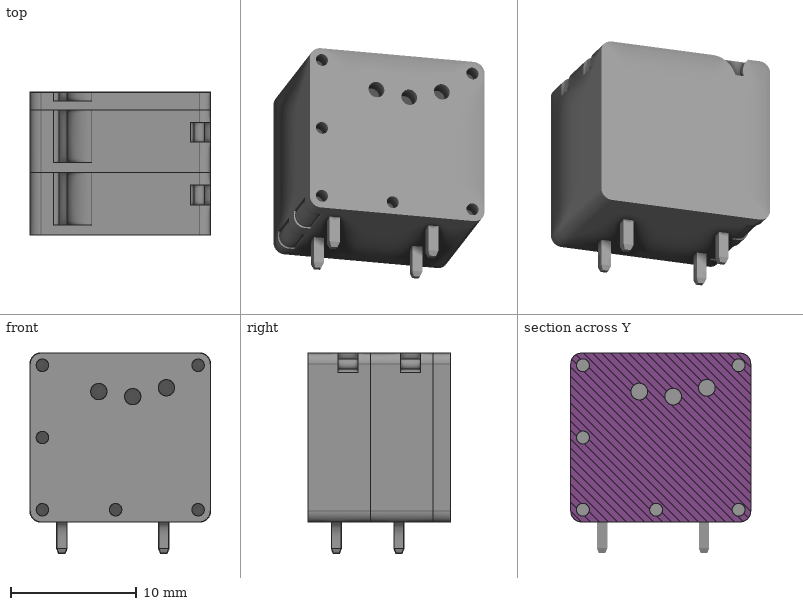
import cadquery as cq
import math

width = 14.4
total_depth = 11.4
total_height = 16.0
pin_length = 2.5
module_count = 2
module_depth = 5.0
cap_depth = total_depth - module_count * module_depth
corner_radius = 0.9

left = -width / 2
right = width / 2
bottom = pin_length
top = total_height
mid_height = (bottom + top) / 2

rivet_diameter = 1.0
rivet_inset = 1.0
rivet_left = left + rivet_inset
rivet_right = right - rivet_inset
rivet_low = bottom + rivet_inset
rivet_high = top - rivet_inset
rivet_bottom_x = -0.37
rivet_places = [
    (rivet_left, rivet_high),
    (rivet_right, rivet_high),
    (rivet_left, mid_height),
    (rivet_left, rivet_low),
    (rivet_bottom_x, rivet_low),
    (rivet_right, rivet_low),
]
guide_diameter = 1.3
guide_places = [(-1.71, top - 3.09), (1.0, top - 3.49), (3.68, top - 2.78)]
hole_depth = 1.6

slot_bulge_radius = 1.33
slot_floor_depth = 1.45
slot_round_radius = 2.0
slot_round_x = -2.3
module_slot_depth = 4.2
cap_slot_depth = 0.7

notch_start = 1.0
notch_width = 1.58
notch_edge_inset = 1.62
notch_tilt = 25.0

relief_size = 1.38
relief_depth = 3.5
relief_bar_radius = 0.9

pin_width = 0.83
pin_thickness = 0.8
pin_tip_height = 0.4
pin_tip_width = 0.51
pin_tip_thickness = 0.48
pin_columns = [-4.65, 3.47]
pin_rear_offset = 2.72


def plane_at(y):
    """XZ plane at the given Y, whose extrusions run toward -Y."""
    return cq.Workplane("XZ", origin=(0, y, 0))


def chord_reach(radius, height):
    """Sideways distance from a circle's centre to its edge at the given height off the centre."""
    return math.sqrt(radius**2 - height**2)


def block(front, depth):
    """Rounded housing block that runs from the front Y back toward +Y."""
    outline = plane_at(front + depth).center(0, mid_height).rect(width, top - bottom)
    return outline.extrude(depth).edges("|Y").fillet(corner_radius)


def top_slot(rear, depth):
    """Slot volume that runs from the rear Y toward -Y."""
    floor = top - slot_floor_depth
    bulge_top_x = rivet_left + chord_reach(slot_bulge_radius, top - rivet_high)
    bulge_floor_x = rivet_left + chord_reach(slot_bulge_radius, floor - rivet_high)
    round_z = top - slot_round_radius
    round_floor_x = slot_round_x - chord_reach(slot_round_radius, floor - round_z)
    round_middle = slot_round_radius * math.cos(math.radians(45))
    return (
        plane_at(rear)
        .moveTo(bulge_top_x, top)
        .threePointArc((rivet_left + slot_bulge_radius, rivet_high), (bulge_floor_x, floor))
        .lineTo(round_floor_x, floor)
        .threePointArc((slot_round_x - round_middle, round_z + round_middle), (slot_round_x, top))
        .close()
        .extrude(depth)
    )


def corner_notch(rear):
    """Wedge cut from the upper right corner, less the round bar on the rivet axis."""
    start = rear - notch_start
    slope = math.radians(notch_tilt)
    edge_x = right - notch_edge_inset
    across = rivet_right - edge_x
    down = top - rivet_high
    wall_length = across * math.sin(slope) + down * math.cos(slope)
    heel_x = edge_x + wall_length * math.sin(slope)
    heel_z = top - wall_length * math.cos(slope)
    floor_end_z = heel_z - (right - heel_x) * math.tan(slope)
    wedge = (
        plane_at(start)
        .polyline([(edge_x, top), (heel_x, heel_z), (right, floor_end_z), (right, top)])
        .close()
        .extrude(notch_width)
    )
    bar = plane_at(start).center(rivet_right, rivet_high).circle(rivet_diameter / 2).extrude(notch_width)
    return wedge.cut(bar)


def corner_relief(rear):
    """Square cut from the lower left corner, less the round bar on the rivet axis."""
    square = (
        plane_at(rear)
        .center(left, bottom)
        .rect(relief_size, relief_size, centered=False)
        .extrude(relief_depth)
    )
    bar = plane_at(rear).center(rivet_left, rivet_low).circle(relief_bar_radius).extrude(relief_depth)
    return square.cut(bar)


def face_holes(front, places, diameter):
    """Blind holes that run from the front Y toward +Y."""
    return plane_at(front).pushPoints(places).circle(diameter / 2).extrude(-hole_depth)


def make_module(front):
    """One module of the stack, open at its rear face."""
    rear = front + module_depth
    return (
        block(front, module_depth)
        .cut(top_slot(rear, module_slot_depth))
        .cut(corner_notch(rear))
        .cut(corner_relief(rear))
        .cut(face_holes(front, rivet_places, rivet_diameter))
        .cut(face_holes(front, guide_places, guide_diameter))
    )


def make_end_cap():
    """Thin plate at the rear of the stack."""
    return block(total_depth - cap_depth, cap_depth).cut(top_slot(total_depth, cap_slot_depth))


def make_pin(x, y):
    """Square pin under a module, tapered at its tip."""
    shank = (
        cq.Workplane("XY", origin=(x, y, pin_tip_height))
        .rect(pin_width, pin_thickness)
        .extrude(pin_length - pin_tip_height)
    )
    tip = (
        cq.Workplane("XY", origin=(x, y, 0))
        .rect(pin_tip_width, pin_tip_thickness)
        .workplane(offset=pin_tip_height)
        .rect(pin_width, pin_thickness)
        .loft(ruled=True)
    )
    return shank.union(tip)


modules = []
pins = []
for index in range(module_count):
    module_front = index * module_depth
    modules.append(make_module(module_front).solids().val())
    for pin_x in pin_columns:
        pins.append(make_pin(pin_x, module_front + module_depth - pin_rear_offset).solids().val())

end_cap = make_end_cap().solids().val()

result = cq.Compound.makeCompound([*modules, end_cap, *pins])